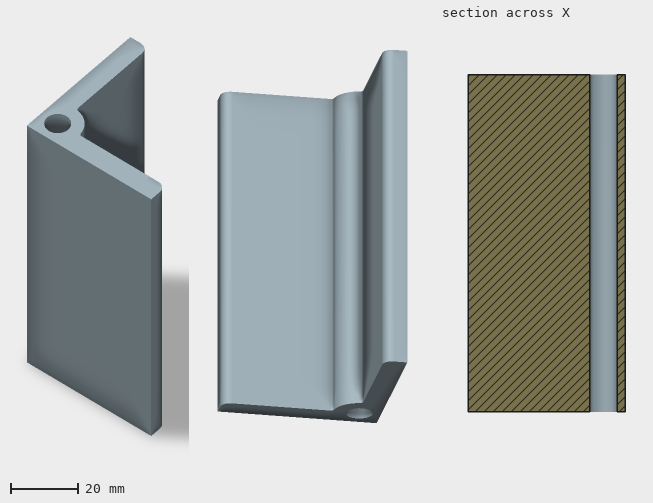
import cadquery as cq

length = 100.0
leg_width = 48.0
leg_thickness = 7.0
tip_radius = 3.0
hole_center = 6.5
hole_diameter = 8.0
boss_radius = 8.0
boss_blend_radius = 1.0


def leg(size_x, size_y):
    """Flat plate with one corner on the origin edge."""
    return cq.Workplane("XY").box(size_x, size_y, length, centered=False)


def vertical_cylinder(radius):
    """Full-length cylinder on the hole axis."""
    return cq.Workplane("XY").center(hole_center, hole_center).circle(radius).extrude(length)


def edge_at(x, y):
    """Selector for the vertical edge through the point (x, y)."""
    return cq.selectors.NearestToPointSelector((x, y, length / 2))


outer_block = leg(leg_width, leg_width)
boss = vertical_cylinder(boss_radius).intersect(outer_block)
angle = leg(leg_width, leg_thickness).union(leg(leg_thickness, leg_width)).union(boss)

for x, y in ((leg_width, leg_thickness), (leg_thickness, leg_width)):
    angle = angle.edges(edge_at(x, y)).fillet(tip_radius)

face_offset = leg_thickness - hole_center
boss_reach = hole_center + (boss_radius**2 - face_offset**2) ** 0.5
for x, y in ((boss_reach, leg_thickness), (leg_thickness, boss_reach)):
    angle = angle.edges(edge_at(x, y)).fillet(boss_blend_radius)

result = angle.cut(vertical_cylinder(hole_diameter / 2))